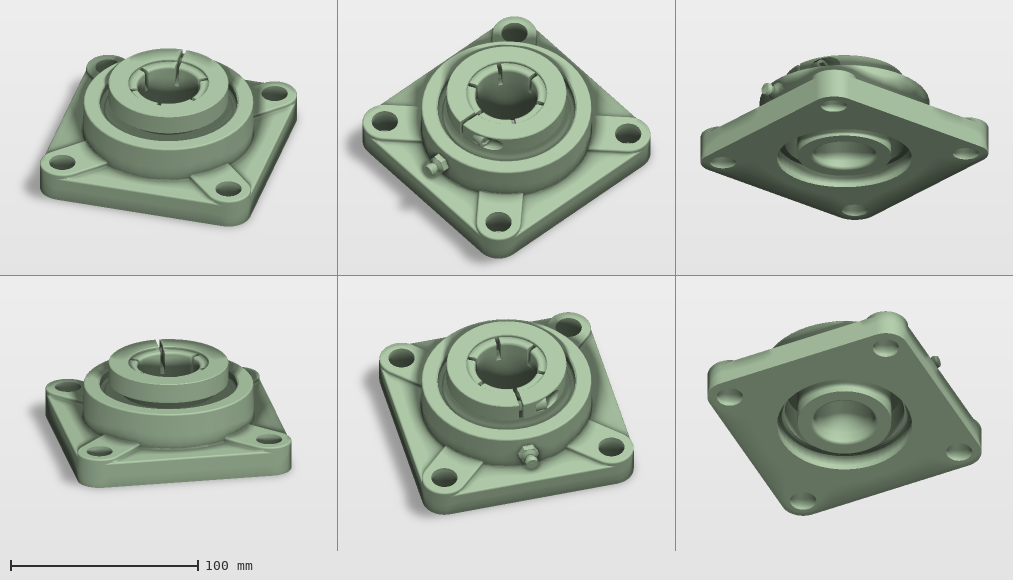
import cadquery as cq
import math


FLANGE_WIDTH = 116.0
PLATE_HEIGHT = 13.9
PAD_HEIGHT = 16.2
CORNER_COUNT = 4
DIAGONAL_ANGLE = 45
CORNER_RADIUS = 12.0
BOLT_HOLE_DIAMETER = 14.0
CAST_FILLET = 0.9
PAD_FOOT_FILLET = 0.6
BOLT_OFFSET = FLANGE_WIDTH / 2 - CORNER_RADIUS
BOLT_REACH = BOLT_OFFSET * math.sqrt(2)

BOSS_HEIGHT = 34.0
BOSS_TOP_RADIUS = 45.4
BOSS_FOOT_RADIUS = 45.8
MOUTH_TOP_RADIUS = 37.7
MOUTH_THROAT_RADIUS = 73.7 / 2
MOUTH_CHAMFER = 0.8
LEDGE_RADIUS = 36.1
LEDGE_BEVEL = 0.7

BEARING_CENTRE = 19.0
BALL_SEAT_RADIUS = 36.0
RING_EDGE_RADIUS = 34.7
RING_FACE_RADIUS = 33.8
RING_CHAMFER_HEIGHT = 0.7
SEAL_OUTER_RADIUS = 64.0 / 2
SEAL_THICKNESS = 2.3
SHOULDER_RADIUS = 50.0 / 2
SEAT_RADIUS = 21.5
BORE_RADIUS = 33.3 / 2
BORE_ROUNDING = 1.5
INNER_RING_BOTTOM = 1.5
INNER_RING_TOP = 44.4
RING_SLOT_COUNT = 6
SLOT_WIDTH = 2.3
RING_SLOT_BEVEL = 2.7
LEDGE_RISE = math.sqrt(BALL_SEAT_RADIUS**2 - RING_EDGE_RADIUS**2)
LEDGE_Z = BEARING_CENTRE + LEDGE_RISE
RING_HALF_WIDTH = LEDGE_RISE + RING_CHAMFER_HEIGHT
RING_TOP = BEARING_CENTRE + RING_HALF_WIDTH

COLLAR_RADIUS = 64.0 / 2
COLLAR_BOTTOM = 34.8
COLLAR_TOP = 45.9
COLLAR_CHAMFER = 0.3

SCREW_Y = 27.0
SCREW_Z = (COLLAR_BOTTOM + COLLAR_TOP) / 2
SCREW_HEAD_RADIUS = 8.5 / 2
SCREW_HEAD_LENGTH = 6.0
SCREW_HEAD_END_X = -14.3
SCREW_SHANK_RADIUS = 5.8 / 2
SCREW_TIP_X = 10.4
COUNTERBORE_RADIUS = 4.8
SOCKET_FLATS = 4.9
SOCKET_DEPTH = 2.9
SCREW_SEAT_X = SCREW_HEAD_END_X + SCREW_HEAD_LENGTH

FITTING_Z = 24.2
FITTING_SEAT_Y = 45.7
SPOT_FACE_RADIUS = 6.0
FITTING_HEX_FLATS = 9.3
FITTING_HEX_HEIGHT = 3.2
FITTING_SHANK_RADIUS = 2.9
FITTING_SHANK_LENGTH = 4.6
FITTING_CONE_RADIUS = 4.4
FITTING_CONE_TOP_RADIUS = 2.5
FITTING_CONE_HEIGHT = 1.5
FITTING_NECK_RADIUS = 4.2 / 2
FITTING_NECK_HEIGHT = 0.7
FITTING_LIP_RADIUS = 3.5
FITTING_LIP_RISE = 2.2
FITTING_HEAD_RADIUS = 6.0 / 2
FITTING_HEAD_HEIGHT = 2.1
FITTING_BALL_RADIUS = 1.5 / 2
FITTING_BALL_HEIGHT = 0.1


def turned(outline):
    """Solid of revolution about Z from a closed (radius, z) outline."""
    return cq.Workplane("XZ").polyline(outline).close().revolve(360, (0, 0), (0, 1))


def cylinder_along_x(radius, x_start, x_end):
    """Cylinder on the screw axis between two X positions."""
    plane = cq.Workplane("YZ", origin=(x_start, SCREW_Y, SCREW_Z))
    return plane.circle(radius).extrude(x_end - x_start)


def fitting_plane(y):
    """Plane square to the grease fitting axis, drawn in X and -Z, facing +Y."""
    return cq.Workplane(cq.Plane((0, y, FITTING_Z), (1, 0, 0), (0, 1, 0)))


def base_plate():
    """Square plate with cut corners; the round ends of the pads complete the corners."""
    plate = cq.Workplane().rect(FLANGE_WIDTH, FLANGE_WIDTH).extrude(PLATE_HEIGHT)
    plate = plate.edges("|Z").chamfer(CORNER_RADIUS)
    return plate.faces(">Z").edges("|X or |Y").fillet(CAST_FILLET)


def corner_pad():
    """Pad from the centre out along +X, rounded about the bolt hole and rising above the plate."""
    pad = (
        cq.Workplane()
        .moveTo(0, -CORNER_RADIUS)
        .lineTo(BOLT_REACH, -CORNER_RADIUS)
        .threePointArc((BOLT_REACH + CORNER_RADIUS, 0), (BOLT_REACH, CORNER_RADIUS))
        .lineTo(0, CORNER_RADIUS)
        .close()
        .extrude(PAD_HEIGHT)
    )
    return pad.faces(">Z").edges("not <X").fillet(CAST_FILLET)


def pad_root_profile():
    """Concave corner between the plate and the +Y side of the pad, level with the bolt hole."""
    return (
        cq.Workplane("YZ", origin=(BOLT_REACH, 0, 0))
        .moveTo(CORNER_RADIUS, PLATE_HEIGHT)
        .lineTo(CORNER_RADIUS + CAST_FILLET, PLATE_HEIGHT)
        .radiusArc((CORNER_RADIUS, PLATE_HEIGHT + CAST_FILLET), CAST_FILLET)
        .close()
    )


def pad_root_fillet():
    """Fillet along the side of the pad and round its end, as far as the flat of the plate."""
    straight = pad_root_profile().extrude(-BOLT_REACH)
    curved = pad_root_profile().revolve(DIAGONAL_ANGLE, (0, 1.2), (0, 0))
    flat_width = FLANGE_WIDTH - 2 * CAST_FILLET
    flat_area = cq.Workplane().rect(flat_width, flat_width).extrude(PAD_HEIGHT)
    return straight.union(curved).intersect(flat_area.rotate((0, 0, 0), (0, 0, 1), DIAGONAL_ANGLE))


def boss_root_fillet(floor_z, radius):
    """Concave ring where the boss rises from a floor at the given height."""
    return (
        cq.Workplane("XZ")
        .moveTo(BOSS_TOP_RADIUS, floor_z)
        .lineTo(BOSS_FOOT_RADIUS + radius, floor_z)
        .radiusArc((BOSS_FOOT_RADIUS, floor_z + radius), radius)
        .lineTo(BOSS_TOP_RADIUS, floor_z + radius)
        .close()
        .revolve(360, (0, 0), (0, 1))
    )


def boss():
    body = turned([(0, 0), (BOSS_FOOT_RADIUS, 0), (BOSS_FOOT_RADIUS, PLATE_HEIGHT),
                   (BOSS_TOP_RADIUS, BOSS_HEIGHT), (0, BOSS_HEIGHT)])
    return body.faces(">Z").edges().fillet(CAST_FILLET)


def bearing_cavity():
    """Spherical seat with a stepped mouth above it and a plain opening below."""
    seat = cq.Workplane(origin=(0, 0, BEARING_CENTRE)).sphere(BALL_SEAT_RADIUS)
    seat = seat.intersect(cq.Workplane().circle(BALL_SEAT_RADIUS).extrude(LEDGE_Z))
    mouth = turned([
        (0, LEDGE_Z),
        (LEDGE_RADIUS, LEDGE_Z),
        (MOUTH_THROAT_RADIUS, LEDGE_Z + LEDGE_BEVEL),
        (MOUTH_THROAT_RADIUS, BOSS_HEIGHT - MOUTH_CHAMFER),
        (MOUTH_TOP_RADIUS, BOSS_HEIGHT),
        (0, BOSS_HEIGHT),
    ])
    opening = cq.Workplane().circle(LEDGE_RADIUS).extrude(BEARING_CENTRE - LEDGE_RISE)
    return seat.union(mouth).union(opening)


def make_housing():
    body = base_plate()
    pad = corner_pad()
    pad_foot = boss_root_fillet(PAD_HEIGHT, PAD_FOOT_FILLET).intersect(
        cq.Workplane().rect(2 * BOLT_REACH, 2 * (CORNER_RADIUS - CAST_FILLET)).extrude(BOSS_HEIGHT)
    )
    strip = pad_root_fillet()
    for corner in range(CORNER_COUNT):
        angle = DIAGONAL_ANGLE + corner * 360 / CORNER_COUNT
        for piece in (pad, strip, strip.mirror("XZ")):
            body = body.union(piece.rotate((0, 0, 0), (0, 0, 1), angle))
    body = body.union(pad_foot.rotate((0, 0, 0), (0, 0, 1), DIAGONAL_ANGLE))
    body = body.union(pad_foot.rotate((0, 0, 0), (0, 0, 1), -DIAGONAL_ANGLE))
    body = body.union(boss_root_fillet(PLATE_HEIGHT, CAST_FILLET)).union(boss())

    spot_face = fitting_plane(FITTING_SEAT_Y).circle(SPOT_FACE_RADIUS)
    body = body.cut(spot_face.extrude(CAST_FILLET)).cut(bearing_cavity())
    shank_hole = fitting_plane(FITTING_SEAT_Y).circle(FITTING_SHANK_RADIUS)
    body = body.cut(shank_hole.extrude(-FITTING_SHANK_LENGTH))
    bolt_holes = cq.Workplane().rect(2 * BOLT_OFFSET, 2 * BOLT_OFFSET, forConstruction=True)
    return body.cut(bolt_holes.vertices().circle(BOLT_HOLE_DIAMETER / 2).extrude(PAD_HEIGHT))


def make_outer_ring():
    """Ring with a spherical outside and bevelled ends."""
    ring = (
        cq.Workplane("XZ")
        .moveTo(SEAL_OUTER_RADIUS, -RING_HALF_WIDTH)
        .lineTo(RING_FACE_RADIUS, -RING_HALF_WIDTH)
        .lineTo(RING_EDGE_RADIUS, -LEDGE_RISE)
        .threePointArc((BALL_SEAT_RADIUS, 0), (RING_EDGE_RADIUS, LEDGE_RISE))
        .lineTo(RING_FACE_RADIUS, RING_HALF_WIDTH)
        .lineTo(SEAL_OUTER_RADIUS, RING_HALF_WIDTH)
        .close()
        .revolve(360, (0, 0), (0, 1))
    )
    return ring.translate((0, 0, BEARING_CENTRE))


def make_seal():
    disc = cq.Workplane(origin=(0, 0, RING_TOP - SEAL_THICKNESS))
    return disc.circle(SEAL_OUTER_RADIUS).circle(SHOULDER_RADIUS).extrude(SEAL_THICKNESS)


def make_inner_ring():
    """Stepped ring with a slotted upper end; each slot floor slopes down into the bore."""
    ring = turned([
        (BORE_RADIUS, INNER_RING_BOTTOM),
        (SHOULDER_RADIUS, INNER_RING_BOTTOM),
        (SHOULDER_RADIUS, COLLAR_BOTTOM),
        (SEAT_RADIUS, COLLAR_BOTTOM),
        (SEAT_RADIUS, INNER_RING_TOP),
        (BORE_RADIUS, INNER_RING_TOP),
    ])
    ring = ring.edges(cq.selectors.RadiusNthSelector(0)).fillet(BORE_ROUNDING)
    bevel_bottom = COLLAR_BOTTOM - RING_SLOT_BEVEL
    slot = (
        cq.Workplane("XZ")
        .moveTo(SHOULDER_RADIUS, INNER_RING_TOP)
        .lineTo(SHOULDER_RADIUS, COLLAR_BOTTOM)
        .lineTo(BORE_RADIUS + RING_SLOT_BEVEL, COLLAR_BOTTOM)
        .lineTo(BORE_RADIUS, bevel_bottom)
        .lineTo(0, bevel_bottom)
        .lineTo(0, INNER_RING_TOP)
        .close()
        .extrude(SLOT_WIDTH / 2, both=True)
    )
    for index in range(RING_SLOT_COUNT):
        ring = ring.cut(slot.rotate((0, 0, 0), (0, 0, 1), 90 + index * 360 / RING_SLOT_COUNT))
    return ring


def make_collar():
    """Ring split on its +Y side, with a counterbored hole for the screw."""
    height = COLLAR_TOP - COLLAR_BOTTOM
    collar = cq.Workplane(origin=(0, 0, COLLAR_BOTTOM)).circle(COLLAR_RADIUS).circle(SEAT_RADIUS)
    collar = collar.extrude(height).faces("<Z or >Z").edges().chamfer(COLLAR_CHAMFER)
    split = cq.Workplane(origin=(0, COLLAR_RADIUS / 2, COLLAR_BOTTOM))
    collar = collar.cut(split.rect(SLOT_WIDTH, COLLAR_RADIUS).extrude(height))
    collar = collar.cut(cylinder_along_x(COUNTERBORE_RADIUS, -COLLAR_RADIUS, SCREW_SEAT_X))
    return collar.cut(cylinder_along_x(SCREW_SHANK_RADIUS, SCREW_SEAT_X, SCREW_TIP_X))


def make_screw():
    head = cylinder_along_x(SCREW_HEAD_RADIUS, SCREW_HEAD_END_X, SCREW_SEAT_X)
    shank = cylinder_along_x(SCREW_SHANK_RADIUS, SCREW_SEAT_X, SCREW_TIP_X)
    socket = cq.Workplane("YZ", origin=(SCREW_HEAD_END_X, SCREW_Y, SCREW_Z))
    socket = socket.polygon(6, SOCKET_FLATS, circumscribed=True).extrude(SOCKET_DEPTH)
    return head.union(shank).cut(socket)


def make_fitting():
    """Hexagon with a shank into the boss and a turned coupling head outside."""
    hexagon = fitting_plane(FITTING_SEAT_Y).transformed(rotate=(0, 0, 90))
    hexagon = hexagon.polygon(6, FITTING_HEX_FLATS, circumscribed=True).extrude(FITTING_HEX_HEIGHT)
    shank = fitting_plane(FITTING_SEAT_Y).circle(FITTING_SHANK_RADIUS).extrude(-FITTING_SHANK_LENGTH)

    cone_foot = FITTING_SEAT_Y + FITTING_HEX_HEIGHT
    cone_top = cone_foot + FITTING_CONE_HEIGHT
    neck_top = cone_top + FITTING_NECK_HEIGHT
    lip = neck_top + FITTING_LIP_RISE
    head_top = lip + FITTING_HEAD_HEIGHT
    nozzle = (
        cq.Workplane("XY", origin=(0, 0, FITTING_Z))
        .polyline([
            (0, cone_foot),
            (FITTING_CONE_RADIUS, cone_foot),
            (FITTING_CONE_TOP_RADIUS, cone_top),
            (FITTING_NECK_RADIUS, cone_top),
            (FITTING_NECK_RADIUS, neck_top),
            (FITTING_CONE_TOP_RADIUS, neck_top),
            (FITTING_LIP_RADIUS, lip),
            (FITTING_HEAD_RADIUS, head_top),
            (FITTING_BALL_RADIUS, head_top),
            (FITTING_BALL_RADIUS, head_top + FITTING_BALL_HEIGHT),
            (0, head_top + FITTING_BALL_HEIGHT),
        ])
        .close()
        .revolve(360, (0, 0), (0, 1))
    )
    return hexagon.union(shank).union(nozzle)


housing = make_housing()
outer_ring = make_outer_ring()
seal = make_seal()
inner_ring = make_inner_ring()
collar = make_collar()
screw = make_screw()
fitting = make_fitting()

result = cq.Compound.makeCompound([
    housing.val(),
    outer_ring.val(),
    seal.val(),
    inner_ring.val(),
    collar.val(),
    screw.val(),
    fitting.val(),
])